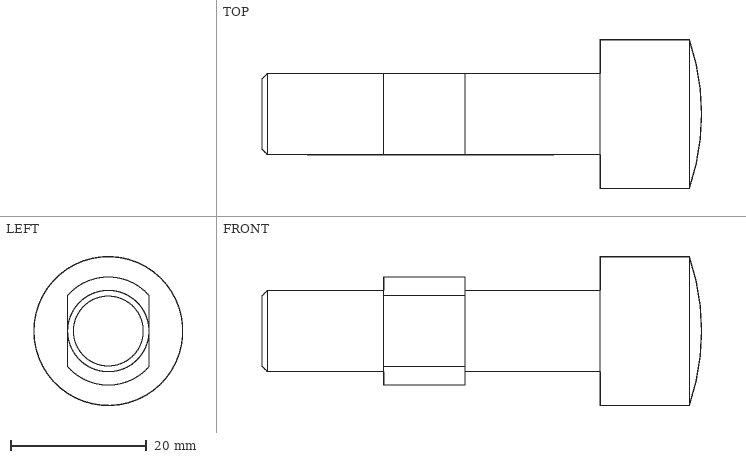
import cadquery as cq

total_length = 64.9
shank_diameter = 12.0
tip_chamfer = 0.85
collar_start = 18.0
collar_length = 12.0
collar_diameter = 16.0
collar_flat_width = shank_diameter
head_start = 49.9
head_diameter = 22.0
dome_height = 1.8
dome_start = total_length - dome_height


def cylinder(start, length, diameter):
    """Solid cylinder on the X axis, starting at X = start."""
    return cq.Workplane("YZ", origin=(start, 0, 0)).circle(diameter / 2).extrude(length)


def make_shank():
    """Plain shank with a chamfered tip, ending at the head."""
    return cylinder(0, head_start, shank_diameter).faces("<X").chamfer(tip_chamfer)


def make_collar():
    """Round collar cut by two flats facing -Y and +Y."""
    flats = cq.Workplane("XY").box(
        collar_length, collar_flat_width, collar_diameter, centered=(False, True, True)
    ).translate((collar_start, 0, 0))
    return cylinder(collar_start, collar_length, collar_diameter).intersect(flats)


def make_head():
    """Cylindrical head closed by a shallow spherical dome."""
    head_radius = head_diameter / 2
    dome_radius = (head_radius**2 + dome_height**2) / (2 * dome_height)
    mid_radius = head_radius / 2
    mid_x = total_length - dome_radius + (dome_radius**2 - mid_radius**2) ** 0.5
    return (
        cq.Workplane("XY")
        .moveTo(head_start, 0)
        .lineTo(head_start, head_radius)
        .lineTo(dome_start, head_radius)
        .threePointArc((mid_x, mid_radius), (total_length, 0))
        .close()
        .revolve(360, (0, 0, 0), (1, 0, 0))
    )


result = make_shank().union(make_collar()).union(make_head())